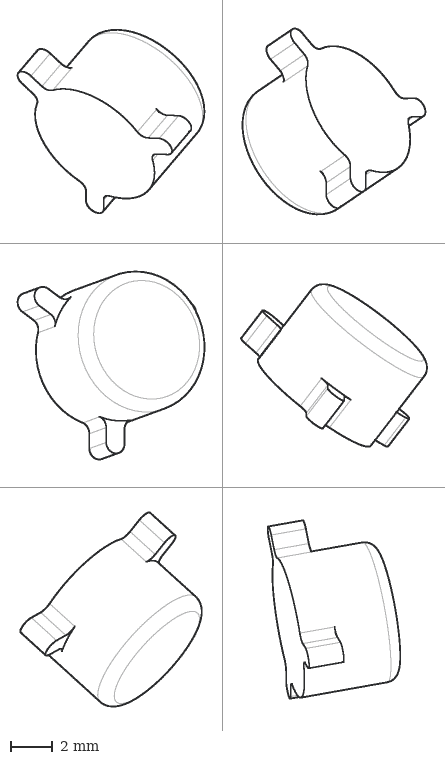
import cadquery as cq
import math

overall_width = 8.79
body_radius = 3.4
body_depth = 5.0
dome_radius = 23.47
rim_fillet = 0.6

arm_width = 1.0
arm_thickness = 1.705
arm_root_fillet = 0.5
arm_angles = (0, 120, 240)

tip_radius = arm_width / 2
tip_distance = (overall_width / 2 - tip_radius) / math.cos(math.radians(30))


def make_body():
    """Revolve about Y a profile whose rim arc is tangent to the side and the dome."""
    dome_center_y = body_depth - dome_radius
    rim_x = body_radius - rim_fillet
    center_distance = dome_radius - rim_fillet
    rim_y = dome_center_y + math.sqrt(center_distance**2 - rim_x**2)

    dome_edge_tilt = math.asin(rim_x / center_distance)
    rim_middle_tilt = (dome_edge_tilt + math.pi / 2) / 2

    def dome_point(tilt):
        return (dome_radius * math.sin(tilt), dome_center_y + dome_radius * math.cos(tilt))

    def rim_point(tilt):
        return (rim_x + rim_fillet * math.sin(tilt), rim_y + rim_fillet * math.cos(tilt))

    return (
        cq.Workplane("XY")
        .lineTo(body_radius, 0)
        .lineTo(body_radius, rim_y)
        .threePointArc(rim_point(rim_middle_tilt), dome_point(dome_edge_tilt))
        .threePointArc(dome_point(dome_edge_tilt / 2), (0, body_depth))
        .close()
        .revolve(360, (0, 0, 0), (0, 1, 0))
    )


def make_arm():
    """Downward arm with a round tip and concave fillets where it meets the body."""
    fillet_x = tip_radius + arm_root_fillet
    fillet_z = -math.sqrt((body_radius + arm_root_fillet) ** 2 - fillet_x**2)
    touch_ratio = body_radius / (body_radius + arm_root_fillet)
    touch_x = fillet_x * touch_ratio
    touch_z = fillet_z * touch_ratio

    arm_side_direction = math.pi
    body_direction = math.atan2(-fillet_z, -fillet_x)
    middle_direction = (arm_side_direction + body_direction) / 2
    middle_x = fillet_x + arm_root_fillet * math.cos(middle_direction)
    middle_z = fillet_z + arm_root_fillet * math.sin(middle_direction)

    return (
        cq.Workplane("XZ")
        .lineTo(touch_x, touch_z)
        .threePointArc((middle_x, middle_z), (tip_radius, fillet_z))
        .lineTo(tip_radius, -tip_distance)
        .threePointArc((0, -tip_distance - tip_radius), (-tip_radius, -tip_distance))
        .lineTo(-tip_radius, fillet_z)
        .threePointArc((-middle_x, middle_z), (-touch_x, touch_z))
        .close()
        .extrude(-arm_thickness)
    )


result = make_body()
arm = make_arm()
for angle in arm_angles:
    result = result.union(arm.rotate((0, 0, 0), (0, 1, 0), angle))